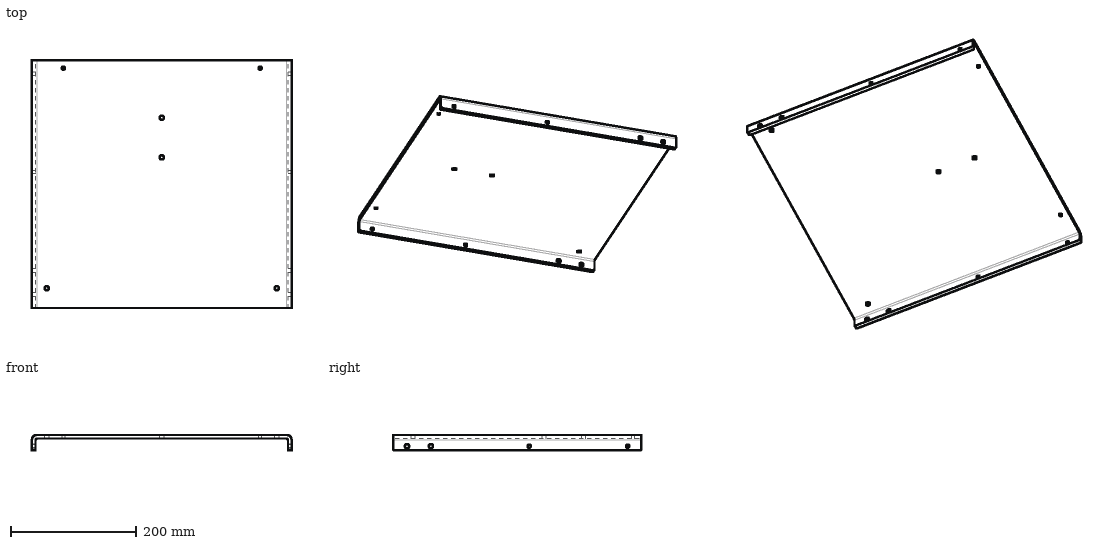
import cadquery as cq

WIDTH = 415.93
LENGTH = 396.88
HEIGHT = 25.05

THICKNESS = 6.15
INNER_BEND_RADIUS = 2.38
OUTER_BEND_RADIUS = INNER_BEND_RADIUS + THICKNESS
FLANGE_CORNER_RADIUS = 2.5

REAR_HOLE_DIAMETER = 4.7
REAR_HOLE_SPACING = 314.7
REAR_HOLE_Y = LENGTH / 2 - 12.95
FRONT_HOLE_DIAMETER = 6.5
FRONT_HOLE_SPACING = 368.0
FRONT_HOLE_Y = -LENGTH / 2 + 32.0
CENTER_HOLE_DIAMETER = 6.6
CENTER_HOLE_SPACING = 63.5
CENTER_HOLE_REAR_Y = LENGTH / 2 - 92.2

FLANGE_HOLE_Z = 6.9
SMALL_FLANGE_HOLE_DIAMETER = 5.0
LARGE_FLANGE_HOLE_DIAMETER = 6.6
FLANGE_HOLES = [
    (176.5, SMALL_FLANGE_HOLE_DIAMETER),
    (19.1, SMALL_FLANGE_HOLE_DIAMETER),
    (-138.1, LARGE_FLANGE_HOLE_DIAMETER),
    (-176.4, LARGE_FLANGE_HOLE_DIAMETER),
]


def rounded_block(width, height, bend_radius):
    """Solid block along Y, standing on Z = 0, with its two top edges rounded."""
    block = cq.Workplane("XY").box(width, LENGTH, height, centered=(True, True, False))
    return block.edges("|Y and >Z").fillet(bend_radius)


def bent_sheet():
    """Flat panel with a flange bent down along each X side."""
    outside = rounded_block(WIDTH, HEIGHT, OUTER_BEND_RADIUS)
    inside = rounded_block(WIDTH - 2 * THICKNESS, HEIGHT - THICKNESS, INNER_BEND_RADIUS)
    sheet = outside.cut(inside)
    flange_corners = sheet.faces("<Z").edges("|X")
    return flange_corners.fillet(FLANGE_CORNER_RADIUS)


def vertical_holes(centers, diameter):
    """Cutters for round holes through the top panel."""
    return cq.Workplane("XY").pushPoints(centers).circle(diameter / 2).extrude(HEIGHT)


def flange_hole(y, diameter):
    """Cutter for a round hole crossing both flanges."""
    plane = cq.Workplane("YZ").center(y, FLANGE_HOLE_Z)
    return plane.circle(diameter / 2).extrude(WIDTH / 2, both=True)


def mirrored_pair(spacing, y):
    """Two points at the same Y, equally far from the middle plane."""
    return [(-spacing / 2, y), (spacing / 2, y)]


rear_holes = mirrored_pair(REAR_HOLE_SPACING, REAR_HOLE_Y)
front_holes = mirrored_pair(FRONT_HOLE_SPACING, FRONT_HOLE_Y)
center_holes = [(0, CENTER_HOLE_REAR_Y), (0, CENTER_HOLE_REAR_Y - CENTER_HOLE_SPACING)]

result = bent_sheet()
result = result.cut(vertical_holes(rear_holes, REAR_HOLE_DIAMETER))
result = result.cut(vertical_holes(front_holes, FRONT_HOLE_DIAMETER))
result = result.cut(vertical_holes(center_holes, CENTER_HOLE_DIAMETER))
for hole_y, hole_diameter in FLANGE_HOLES:
    result = result.cut(flange_hole(hole_y, hole_diameter))